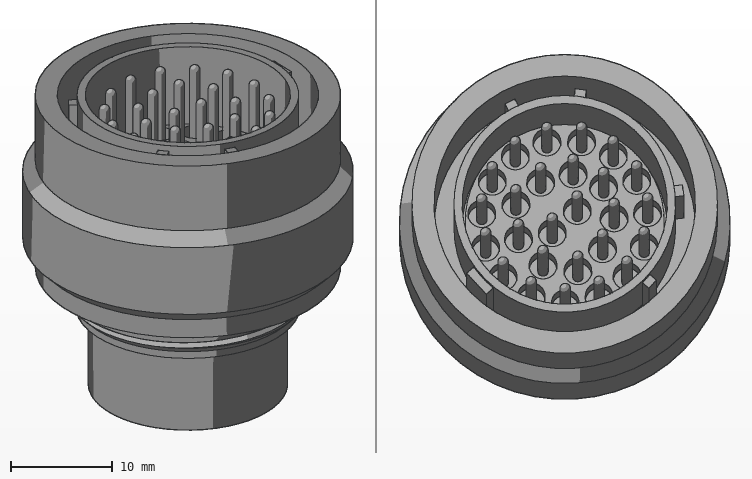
import cadquery as cq
import math

TOTAL_HEIGHT = 32.05

NECK_RADIUS = 9.8
NECK_TOP = 8.63
FLANGE_RADIUS = 11.03
FLANGE_TOP = 9.38

THREAD_RADIUS = 11.78
THREAD_PITCH = 1.25
THREAD_DEPTH = 0.52
THREAD_HALF_ANGLE = 30
GROOVE_START = 8.08

RING_BOTTOM = 13.0
RING_RADIUS = 16.22
SHELL_RADIUS = 15.0
RING_BEVEL = RING_RADIUS - SHELL_RADIUS
BAND_BOTTOM = 16.25
BAND_TOP = 23.65

SOCKET_RADIUS = 12.82
SOCKET_DEPTH = 8.45
TUBE_RADIUS = 10.87
BORE_RADIUS = 10.05
INSERT_RADIUS = 9.77
FLOOR = TOTAL_HEIGHT - SOCKET_DEPTH

KEY_TIP_RADIUS = 11.7
KEY_SETBACK = 0.62
KEY_TOP = TOTAL_HEIGHT - KEY_SETBACK
MAIN_KEY_WIDTH = 2.85
MAIN_KEY_ANGLE = 90
SMALL_KEY_WIDTH = 1.1
SMALL_KEY_ANGLES = (185, 235, 310, 345)

PIN_RADIUS = 0.52
PIN_TIP = 31.02
WELL_RADIUS = 1.35
WELL_DEPTH = 2.6
WELL_FLOOR = FLOOR - WELL_DEPTH
OUTER_PIN_COUNT = 15
OUTER_PIN_CIRCLE = 8.18
CENTRE_PINS = [(0, 1.65), (0, -1.65), (0, -5.15)]
RIGHT_INNER_PINS = [(1.8, 4.5), (4.5, 2.37), (4.5, -0.9), (3.0, -3.83)]


def revolve_profile(points):
    """Revolve a closed (radius, height) outline about the Z axis."""
    return cq.Workplane("XZ").polyline(points).close().revolve(360, (0, 0, 0), (0, 1, 0))


def threaded_body():
    """Neck, flange and thread blank, with a V groove cut along a helix."""
    thread_bevel = THREAD_RADIUS - FLANGE_RADIUS
    body = revolve_profile([
        (0, 0),
        (NECK_RADIUS, 0),
        (NECK_RADIUS, NECK_TOP),
        (FLANGE_RADIUS, NECK_TOP),
        (FLANGE_RADIUS, FLANGE_TOP),
        (THREAD_RADIUS, FLANGE_TOP + thread_bevel),
        (THREAD_RADIUS, BAND_BOTTOM),
        (0, BAND_BOTTOM),
    ])
    overshoot = 0.05
    groove_height = RING_BOTTOM + THREAD_PITCH / 2 - GROOVE_START
    half_opening = (THREAD_DEPTH + overshoot) * math.tan(math.radians(THREAD_HALF_ANGLE))
    helix = cq.Wire.makeHelix(THREAD_PITCH, groove_height, THREAD_RADIUS, cq.Vector(0, 0, GROOVE_START))
    groove = (
        cq.Workplane("XZ")
        .polyline([
            (THREAD_RADIUS - THREAD_DEPTH, GROOVE_START),
            (THREAD_RADIUS + overshoot, GROOVE_START - half_opening),
            (THREAD_RADIUS + overshoot, GROOVE_START + half_opening),
        ])
        .close()
        .sweep(cq.Workplane(helix), isFrenet=True)
    )
    return body.cut(groove)


def coupling_ring():
    """Bevelled outer ring with the annular gap and the bore around the insert sunk into its top."""
    ring = revolve_profile([
        (0, RING_BOTTOM),
        (SHELL_RADIUS, RING_BOTTOM),
        (SHELL_RADIUS, BAND_BOTTOM - RING_BEVEL),
        (RING_RADIUS, BAND_BOTTOM),
        (RING_RADIUS, BAND_TOP),
        (SHELL_RADIUS, BAND_TOP + RING_BEVEL),
        (SHELL_RADIUS, TOTAL_HEIGHT),
        (0, TOTAL_HEIGHT),
    ])
    gap = (
        cq.Workplane("XY", origin=(0, 0, WELL_FLOOR))
        .circle(SOCKET_RADIUS)
        .circle(TUBE_RADIUS)
        .extrude(TOTAL_HEIGHT - WELL_FLOOR)
    )
    bore = revolve_profile([
        (0, FLOOR),
        (INSERT_RADIUS, FLOOR),
        (INSERT_RADIUS, WELL_FLOOR),
        (BORE_RADIUS, WELL_FLOOR),
        (BORE_RADIUS, TOTAL_HEIGHT),
        (0, TOTAL_HEIGHT),
    ])
    return ring.cut(gap).cut(bore)


def key(angle, width):
    """Upright key from the middle of the tube wall out to the key tip radius."""
    root_radius = (BORE_RADIUS + TUBE_RADIUS) / 2
    return (
        cq.Workplane("XY", origin=(0, 0, WELL_FLOOR))
        .center((root_radius + KEY_TIP_RADIUS) / 2, 0)
        .rect(KEY_TIP_RADIUS - root_radius, width)
        .extrude(KEY_TOP - WELL_FLOOR)
        .rotate((0, 0, 0), (0, 0, 1), angle)
    )


def pin_positions():
    """An even outer circle starting at +Y, and an inner group mirrored about the YZ plane."""
    positions = CENTRE_PINS + RIGHT_INNER_PINS + [(-x, y) for x, y in RIGHT_INNER_PINS]
    for i in range(OUTER_PIN_COUNT):
        angle = math.radians(90 + i * 360 / OUTER_PIN_COUNT)
        positions.append((OUTER_PIN_CIRCLE * math.cos(angle), OUTER_PIN_CIRCLE * math.sin(angle)))
    return positions


def wells(positions):
    """Round wells sunk below the socket floor."""
    floor_plane = cq.Workplane("XY", origin=(0, 0, FLOOR))
    return floor_plane.pushPoints(positions).circle(WELL_RADIUS).extrude(-WELL_DEPTH)


def pins(positions):
    """Round-ended pins rooted in the solid one pin radius below the wells."""
    pin_bottom = WELL_FLOOR - PIN_RADIUS
    shoulder = PIN_TIP - PIN_RADIUS
    shanks = (
        cq.Workplane("XY", origin=(0, 0, pin_bottom))
        .pushPoints(positions)
        .circle(PIN_RADIUS)
        .extrude(shoulder - pin_bottom)
    )
    tips = cq.Workplane("XY", origin=(0, 0, shoulder)).pushPoints(positions).sphere(PIN_RADIUS)
    return shanks.union(tips)


contacts = pin_positions()
result = threaded_body().union(coupling_ring())
result = result.union(key(MAIN_KEY_ANGLE, MAIN_KEY_WIDTH))
for small_key_angle in SMALL_KEY_ANGLES:
    result = result.union(key(small_key_angle, SMALL_KEY_WIDTH))
result = result.cut(wells(contacts)).union(pins(contacts))